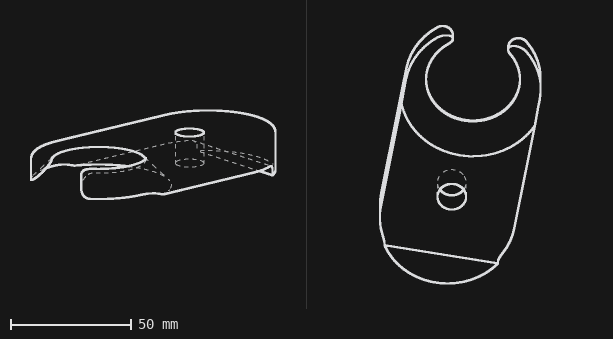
import cadquery as cq
import math

length = 110.3
width = 56.5
height = 18.0
plate_thickness = 13.2
top_fillet = 2.0

end_radius = width / 2
rear_y = length / 2
rear_center_y = rear_y - end_radius
foot_length = 13.5
foot_fillet = 2.5

bolt_hole_diameter = 11.9
bolt_hole_y = 16.9

clip_radius = 19.5
clip_center_y = -33.1
flare_start_depth = 2.4

tip_radius = (end_radius - clip_radius) / 2
arm_radius = (end_radius + clip_radius) / 2
tip_drop = clip_center_y + length / 2 - tip_radius
tip_angle = math.asin(tip_drop / arm_radius)

plate_bottom = height - plate_thickness


def clip_point(radius, angle):
    """Point at a radius from the clip center, angle in radians from +X."""
    return (radius * math.cos(angle), clip_center_y + radius * math.sin(angle))


def tip_end(side_angle):
    """Middle of the round that closes the arm ending at the given angle."""
    x, y = clip_point(arm_radius, side_angle)
    turn = 1 if math.cos(side_angle) < 0 else -1
    return (
        x - turn * tip_radius * math.sin(side_angle),
        y + turn * tip_radius * math.cos(side_angle),
    )


def make_body():
    """Full-height outline: round rear end, straight sides and two clip arms."""
    right = -tip_angle
    left = math.pi + tip_angle
    return (
        cq.Workplane("XY")
        .moveTo(-end_radius, clip_center_y)
        .lineTo(-end_radius, rear_center_y)
        .threePointArc((0, rear_y), (end_radius, rear_center_y))
        .lineTo(end_radius, clip_center_y)
        .threePointArc(clip_point(end_radius, right / 2), clip_point(end_radius, right))
        .threePointArc(tip_end(right), clip_point(clip_radius, right))
        .threePointArc(clip_point(clip_radius, math.pi / 2), clip_point(clip_radius, left))
        .threePointArc(tip_end(left), clip_point(end_radius, left))
        .threePointArc(clip_point(end_radius, math.pi + tip_angle / 2), (-end_radius, clip_center_y))
        .close()
        .extrude(height)
        .faces(">Z")
        .edges()
        .fillet(top_fillet)
    )


def make_underside_cut():
    """Clears everything below the plate in front of the foot, rounding the inner corner."""
    foot_face_y = rear_y - foot_length
    return (
        cq.Workplane("XY")
        .box(width, length - foot_length, plate_bottom, centered=(True, False, False))
        .translate((0, foot_face_y - (length - foot_length), 0))
        .edges(">Y and >Z")
        .fillet(foot_fillet)
    )


def make_bolt_hole():
    return (
        cq.Workplane("XY")
        .center(0, bolt_hole_y)
        .circle(bolt_hole_diameter / 2)
        .extrude(height)
    )


def make_clip_flare():
    """45 degree cone that widens the clip opening toward the underside."""
    flare_height = plate_thickness - flare_start_depth
    cone = cq.Solid.makeCone(
        clip_radius + flare_height,
        clip_radius,
        flare_height,
        pnt=cq.Vector(0, clip_center_y, plate_bottom),
    )
    return cq.Workplane(cone)


result = (
    make_body()
    .cut(make_underside_cut())
    .cut(make_bolt_hole())
    .cut(make_clip_flare())
)